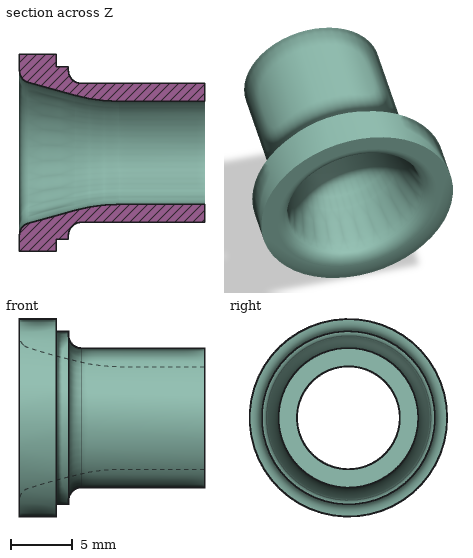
import cadquery as cq
import math

total_length = 15.0
flange_radius = 16 / 2
flange_length = 3.0
step_radius = 14.0 / 2
step_length = 1.0
tube_radius = 11.3 / 2
neck_fillet = 1.0

bore_radius = 8.3 / 2
mouth_radius = 13.28 / 2
mouth_round = 1.0
cone_angle = math.radians(15.5)
cone_end_radius = 9.28 / 2

step_end = flange_length + step_length
diagonal = math.sqrt(0.5)


def make_body():
    """Flange, shoulder step and tube joined by a concave fillet."""
    fillet_mid = (
        step_end + neck_fillet * (1 - diagonal),
        tube_radius + neck_fillet * (1 - diagonal),
    )
    return (
        cq.Workplane("XY")
        .lineTo(0, flange_radius)
        .lineTo(flange_length, flange_radius)
        .lineTo(flange_length, step_radius)
        .lineTo(step_end, step_radius)
        .lineTo(step_end, tube_radius + neck_fillet)
        .threePointArc(fillet_mid, (step_end + neck_fillet, tube_radius))
        .lineTo(total_length, tube_radius)
        .lineTo(total_length, 0)
        .close()
        .revolve(360, (0, 0, 0), (1, 0, 0))
    )


def make_passage():
    """Rounded mouth tangent to a cone, then a tangent blend into the bore."""
    mouth_turn = math.pi / 2 - cone_angle

    def mouth_point(turn):
        """Point on the rounded mouth after turning inward from the front face."""
        return (
            mouth_round * (1 - math.cos(turn)),
            mouth_radius - mouth_round * math.sin(turn),
        )

    cone_start_depth, cone_start_radius = mouth_point(mouth_turn)
    cone_length = (cone_start_radius - cone_end_radius) / math.tan(cone_angle)
    cone_end_depth = cone_start_depth + cone_length

    blend_radius = (cone_end_radius - bore_radius) / (1 - math.cos(cone_angle))
    blend_end_depth = cone_end_depth + blend_radius * math.sin(cone_angle)
    blend_mid = (
        blend_end_depth - blend_radius * math.sin(cone_angle / 2),
        bore_radius + blend_radius * (1 - math.cos(cone_angle / 2)),
    )
    return (
        cq.Workplane("XY")
        .lineTo(0, mouth_radius)
        .threePointArc(mouth_point(mouth_turn / 2), mouth_point(mouth_turn))
        .lineTo(cone_end_depth, cone_end_radius)
        .threePointArc(blend_mid, (blend_end_depth, bore_radius))
        .lineTo(total_length, bore_radius)
        .lineTo(total_length, 0)
        .close()
        .revolve(360, (0, 0, 0), (1, 0, 0))
    )


result = make_body().cut(make_passage())